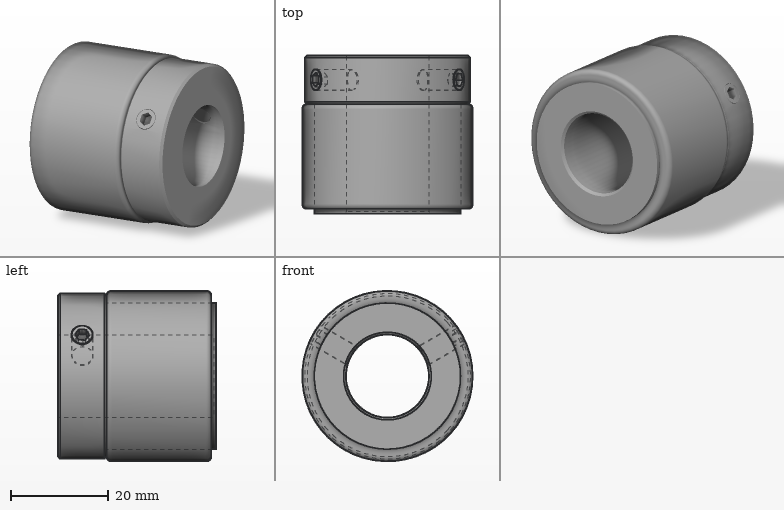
import cadquery as cq
import math

total_length = 32.5
bore_diameter = 17.0

sleeve_diameter = 35.0
sleeve_edge_radius = 1.0

ring_diameter = 30.0
ring_projection = 1.0
bore_chamfer = 0.5

collar_diameter = 34.0
collar_length = 10.0
collar_chamfer = 0.5

screw_diameter = 4.2
screw_clearance = 0.1
screw_placements = [(30.0, 26.0), (150.0, -4.0)]
hex_across_flats = 2.5
hex_depth = 2.0

front_y = -total_length / 2
back_y = total_length / 2
sleeve_front_y = front_y + ring_projection
collar_front_y = back_y - collar_length
screw_y = back_y - collar_length / 2
screw_outer_radius = collar_diameter / 2
screw_length = (collar_diameter - bore_diameter) / 2
screw_inner_radius = screw_outer_radius - screw_length
screw_hole_diameter = screw_diameter + 2 * screw_clearance
hex_across_corners = hex_across_flats / math.cos(math.radians(30))


def axial_tube(outer_diameter, inner_diameter, start_y, end_y):
    """Plain tube along Y between two stations."""
    plane = cq.Plane(origin=(0, start_y, 0), xDir=(1, 0, 0), normal=(0, 1, 0))
    return (
        cq.Workplane(plane)
        .circle(outer_diameter / 2)
        .circle(inner_diameter / 2)
        .extrude(end_y - start_y)
    )


def radial_plane(angle, radius):
    """Plane facing outward at the screw station; its local X lies along Y."""
    direction = cq.Vector(math.cos(math.radians(angle)), 0, math.sin(math.radians(angle)))
    origin = direction * radius + cq.Vector(0, screw_y, 0)
    return cq.Plane(origin=origin, xDir=(0, 1, 0), normal=direction)


def make_sleeve():
    """Outer sleeve with both outer edges rounded."""
    sleeve = axial_tube(sleeve_diameter, ring_diameter, sleeve_front_y, collar_front_y)
    outer_edges = cq.selectors.RadiusNthSelector(-1)
    return sleeve.edges(outer_edges).fillet(sleeve_edge_radius)


def make_ring():
    """Inner ring with a chamfered bore at the front face."""
    ring = axial_tube(ring_diameter, bore_diameter, front_y, collar_front_y)
    return ring.faces("<Y").edges(cq.selectors.RadiusNthSelector(0)).chamfer(bore_chamfer)


def make_collar():
    """Collar with both outer edges chamfered and a radial hole for each set screw."""
    collar = axial_tube(collar_diameter, bore_diameter, collar_front_y, back_y)
    collar = collar.edges(cq.selectors.RadiusNthSelector(-1)).chamfer(collar_chamfer)
    for angle, _ in screw_placements:
        hole = (
            cq.Workplane(radial_plane(angle, 0))
            .circle(screw_hole_diameter / 2)
            .extrude(collar_diameter)
        )
        collar = collar.cut(hole)
    return collar


def make_set_screw(angle, hex_spin):
    """Headless screw with a hexagon socket, reaching from the bore to the collar surface."""
    screw = (
        cq.Workplane(radial_plane(angle, screw_inner_radius))
        .circle(screw_diameter / 2)
        .extrude(screw_length)
    )
    socket = (
        cq.Workplane(radial_plane(angle, screw_outer_radius))
        .transformed(rotate=(0, 0, hex_spin))
        .polygon(6, hex_across_corners)
        .extrude(-hex_depth)
    )
    return screw.cut(socket)


sleeve = make_sleeve()
ring = make_ring()
collar = make_collar()
set_screws = [make_set_screw(angle, hex_spin) for angle, hex_spin in screw_placements]

result = cq.Compound.makeCompound(
    [sleeve.val(), ring.val(), collar.val(), *[screw.val() for screw in set_screws]]
)